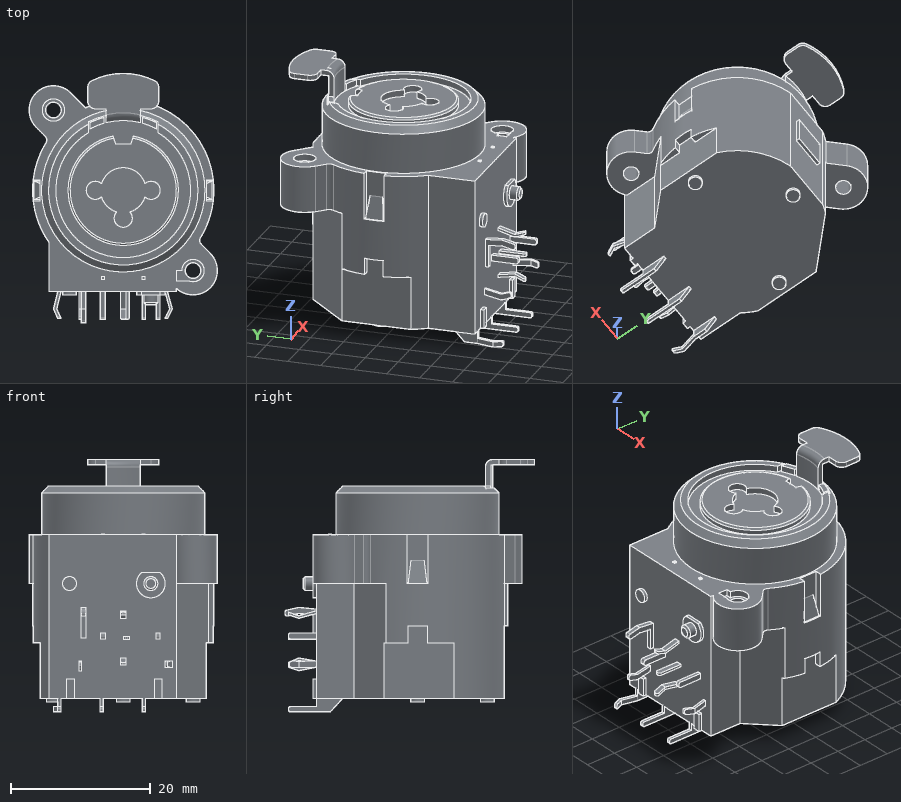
import cadquery as cq
import math


body_radius = 13.0
body_bottom = -23.5
body_front = -14.5
body_back = 12.42
back_flat_reach = math.sqrt(body_radius**2 - body_back**2)
block_left = -10.65
block_right = 7.6
back_flat_angle, back_flat_distance = 135.0, 12.1
front_flat_angle, front_flat_distance = -45.0, 11.8
side_flat = 11.9
side_flat_top = -15.5
side_flat_reach = math.sqrt(body_radius**2 - side_flat**2)
side_notch_top = -13.05
side_notch_width = 2.8
slot_width = 3.0
slot_ramp_top = -3.7
slot_ramp_depth = 0.85
slot_ramp_width_top = 1.9
slot_ramp_width_bottom = 2.7
cut_size = 10.0

lug_x, lug_y = 10.0, 11.5
lug_radius = 3.5
lug_height = 7.0
lug_web_length = 6.0
lug_blend_radius = 0.8
web_edge_offset = lug_radius - (lug_y - lug_x) * math.sqrt(0.5)
web_edge_reach = math.sqrt(body_radius**2 - web_edge_offset**2)
lug_joint_x = (web_edge_reach + web_edge_offset) * math.sqrt(0.5)
lug_joint_y = (web_edge_reach - web_edge_offset) * math.sqrt(0.5)
screw_hole_diameter = 2.2
counterbore_diameter = 3.2
counterbore_depth = 1.0
key_pocket_y = (-13.0, -11.5)

barrel_diameter = 23.4
barrel_height = 7.0
barrel_chamfer = 1.0
recess_radius = 9.65
recess_depth = 1.0
insert_radius = 7.9
insert_chamfer = 0.3
key_half_width_outer = 1.5
key_half_width_inner = 1.1
key_inner_y = 6.65
jack_hole_diameter = 6.5
contact_hole_diameter = 2.6
contact_circle_radius = 4.0
socket_depth = 1.0
recess_floor = barrel_height - recess_depth

tab_top = 10.8
tab_thickness = 0.8
tab_half_width = 5.1
tab_front = 11.67
tab_back = 16.76
tab_side_back = 15.4
tab_corner_radius = 1.1
stem_radius = 10.0
stem_thickness = 0.8
stem_half_width = 2.45
stem_bend_radius = 1.1
latch_half_width = 5.0
shoulder_outer = 4.75
shoulder_inner = 2.75
latch_outer_radius = 11.0
back_plate_half_width = 2.45
back_plate_outer = 12.95
back_plate_bottom = -13.05

front_relief = 0.5
peg_x, front_detail_z = 3.95, -7.0
peg_diameter = 2.0
peg_tip = -16.4
peg_chamfer = 0.3
peg_base_radius = 2.05
peg_base_flat = 1.55
pad_x = -7.7
rib_centres = (-7.55, 5.0)
rib_width = 1.1
rib_top = -20.65

foot_diameter = 2.0
foot_height = 0.5
foot_circle_radius = 10.0
nub_x = 2.9
nub_y = -12.55
nub_size = 0.4
nub_height = 0.1

overlap = 0.5
pin_tip = -18.5
pin_bend = -17.0
bent_tip = -18.35
tip_rounding = 0.35
blade_height = 0.9
blade_thickness = 0.4
flat_blade_width = 0.85

strap_x, strap_width = -5.7, 0.7
strap_z = (-14.8, -10.7)
strap_blade_z, strap_blade_bend = -11.1, (0, 0.25, -0.2)
strap_blade_tip = -19.0
upper_flat_z, upper_flat_bend = -11.1, (0, -0.7, -0.2)
lower_flat_z, lower_flat_bend = -18.3, (0, 0.45, -0.2)
left_blade_x, left_blade_z, left_blade_bend = -6.15, -18.55, (0, -0.5, 0)
right_blade_x, right_blade_z, right_blade_bend = 6.15, -18.55, (0, 0.7, 0)
switch_blades = ((-2.9, 0.7), (5.0, 0.55))
switch_blade_z = -14.5
middle_blade_x, middle_blade_z = 0.45, -14.8

ground_bottom = -25.4
ground_pin_height = 0.8
ground_thickness = 0.5
ground_start = -10.75
ground_bend = -12.5
ground_xs = (-9.15, -3.1, 2.95)
ground_pin_bend = (0, -0.6, 0)


def box(x_range, y_range, z_range):
    x, y, z = x_range[0], y_range[0], z_range[0]
    size = [high - low for low, high in (x_range, y_range, z_range)]
    return cq.Workplane().box(*size, centered=False).translate((x, y, z))


def cylinder(x, y, diameter, bottom, top):
    return cq.Workplane().center(x, y).circle(diameter / 2).extrude(top - bottom).translate((0, 0, bottom))


def front_cylinder(x, z, diameter, depth_end):
    """Round stud standing on the front face and reaching out to Y = depth_end."""
    length = body_front - depth_end
    return cq.Workplane("XZ", origin=(x, body_front, z)).circle(diameter / 2).extrude(length)


def lug(x, y):
    """Round lug with a parallel-sided web running diagonally back to the body."""
    web_angle = math.degrees(math.atan2(-math.copysign(1, y), -math.copysign(1, x)))
    web = (
        cq.Workplane()
        .rect(lug_web_length, 2 * lug_radius)
        .extrude(-lug_height)
        .translate((lug_web_length / 2, 0, 0))
        .rotate((0, 0, 0), (0, 0, 1), web_angle)
        .translate((x, y, 0))
    )
    return web.union(cylinder(x, y, 2 * lug_radius, -lug_height, 0))


def flange():
    """Upper part of the housing with both lugs blended into the round body."""
    lugs = lug(-lug_x, lug_y).union(lug(lug_x, -lug_y))
    solid = cylinder(0, 0, 2 * body_radius, -lug_height, 0).union(lugs)
    for side in (-1, 1):
        x, y = side * lug_joint_x, -side * lug_joint_y
        joint = cq.selectors.NearestToPointSelector((x, y, -lug_height / 2))
        solid = solid.edges("|Z").edges(joint).fillet(lug_blend_radius)
    return solid


def lower_body():
    solid = cylinder(0, 0, 2 * body_radius, body_bottom, -lug_height)
    for angle, distance in (
        (back_flat_angle, back_flat_distance),
        (front_flat_angle, front_flat_distance),
    ):
        flat = box((distance, distance + cut_size), (-cut_size, cut_size), (body_bottom, -lug_height))
        solid = solid.cut(flat.rotate((0, 0, 0), (0, 0, 1), angle))
    return solid


def housing():
    solid = flange().union(lower_body())
    back_waste = box((-back_flat_reach, back_flat_reach), (body_back, body_radius), (body_bottom, 0))
    solid = solid.cut(back_waste)
    solid = solid.union(box((block_left, block_right), (body_front, 0), (body_bottom, 0)))
    for side in (-1, 1):
        solid = cut_side_details(solid, side)
    return cut_lug_holes(solid)


def cut_side_details(solid, side):
    flat_range = sorted((side * side_flat, side * (side_flat + cut_size)))
    solid = solid.cut(box(flat_range, (-side_flat_reach, side_flat_reach), (body_bottom, side_flat_top)))
    notch_y = (-side_notch_width / 2, side_notch_width / 2)
    solid = solid.cut(box(flat_range, notch_y, (side_flat_top, side_notch_top)))
    solid = solid.cut(box(flat_range, (-slot_width / 2, slot_width / 2), (-lug_height, 0)))
    return solid.union(slot_ramp(side))


def slot_ramp(side):
    """Snap-in wedge on the floor of a side slot, narrower at its top."""
    outline = [
        (-slot_ramp_width_bottom / 2, -lug_height),
        (slot_ramp_width_bottom / 2, -lug_height),
        (slot_ramp_width_top / 2, slot_ramp_top),
        (-slot_ramp_width_top / 2, slot_ramp_top),
    ]
    depth = side * slot_ramp_depth
    plate = cq.Workplane("YZ").polyline(outline).close().extrude(depth)
    slope = [(0, slot_ramp_top), (0, -lug_height), (depth, -lug_height)]
    wedge = cq.Workplane("XZ").polyline(slope).close().extrude(slot_width / 2, both=True)
    return plate.intersect(wedge).translate((side * side_flat, 0, 0))


def cut_lug_holes(solid):
    for x, y in ((-lug_x, lug_y), (lug_x, -lug_y)):
        solid = solid.cut(cylinder(x, y, screw_hole_diameter, body_bottom, 0))
        solid = solid.cut(cylinder(x, y, counterbore_diameter, -counterbore_depth, 0))
    return solid.cut(box((block_right, lug_x), key_pocket_y, (-counterbore_depth, 0)))


def barrel():
    solid = cylinder(0, 0, barrel_diameter, -overlap, barrel_height)
    solid = solid.faces(">Z").edges().chamfer(barrel_chamfer)
    solid = solid.cut(cylinder(0, 0, 2 * recess_radius, recess_floor, barrel_height))
    window = cylinder(0, 0, 2 * latch_outer_radius, recess_floor, barrel_height)
    window = window.intersect(
        box((-latch_half_width, latch_half_width), (0, body_radius), (0, barrel_height))
    )
    return solid.cut(window).union(socket_insert())


def socket_insert():
    solid = cylinder(0, 0, 2 * insert_radius, recess_floor, barrel_height)
    solid = solid.faces(">Z").edges().chamfer(insert_chamfer)
    key_outline = [
        (-key_half_width_outer, insert_radius),
        (-key_half_width_inner, key_inner_y),
        (key_half_width_inner, key_inner_y),
        (key_half_width_outer, insert_radius),
    ]
    key = cq.Workplane(origin=(0, 0, recess_floor)).polyline(key_outline).close().extrude(recess_depth)
    solid = solid.cut(key)
    socket_floor = barrel_height - socket_depth
    solid = solid.cut(cylinder(0, 0, jack_hole_diameter, socket_floor, barrel_height))
    for angle in (0, 180, 270):
        x = contact_circle_radius * math.cos(math.radians(angle))
        y = contact_circle_radius * math.sin(math.radians(angle))
        solid = solid.cut(cylinder(x, y, contact_hole_diameter, socket_floor, barrel_height))
    return solid


def push_latch():
    tab_bottom = tab_top - tab_thickness
    tab = (
        cq.Workplane(origin=(0, 0, tab_bottom))
        .moveTo(-tab_half_width, tab_front)
        .lineTo(tab_half_width, tab_front)
        .lineTo(tab_half_width, tab_side_back)
        .threePointArc((0, tab_back), (-tab_half_width, tab_side_back))
        .close()
        .extrude(tab_thickness)
        .edges("|Z")
        .fillet(tab_corner_radius)
    )
    return tab.union(latch_stem()).union(latch_shoulders()).union(back_plate())


def latch_stem():
    """Stem curved around the barrel axis, bent outward under the push tab."""
    outer = stem_radius + stem_thickness
    tab_bottom = tab_top - tab_thickness
    profile = (
        cq.Workplane("XZ")
        .moveTo(stem_radius, recess_floor - overlap)
        .lineTo(stem_radius, tab_top - stem_bend_radius)
        .radiusArc((stem_radius + stem_bend_radius, tab_top), stem_bend_radius)
        .lineTo(tab_front + overlap, tab_top)
        .lineTo(tab_front + overlap, tab_bottom)
        .lineTo(outer, tab_bottom)
        .lineTo(outer, recess_floor - overlap)
        .close()
    )
    ring = profile.revolve(360, (0, 0, 0), (0, 1, 0))
    return ring.intersect(box((-stem_half_width, stem_half_width), (0, body_radius), (0, tab_top)))


def latch_shoulders():
    """Curved arms standing beside the stem in the opening of the barrel rim."""
    bottom = recess_floor - overlap
    ring = cylinder(0, 0, 2 * (stem_radius + stem_thickness), bottom, barrel_height)
    ring = ring.cut(cylinder(0, 0, 2 * stem_radius, bottom, barrel_height))
    right = ring.intersect(box((shoulder_inner, shoulder_outer), (0, body_radius), (0, barrel_height)))
    return right.union(right.mirror("YZ"))


def back_plate():
    half = back_plate_half_width
    return box((-half, half), (body_back - overlap, back_plate_outer), (back_plate_bottom, -lug_height))


def front_details():
    relief_end = body_front - front_relief
    peg = front_cylinder(peg_x, front_detail_z, peg_diameter, peg_tip)
    peg = peg.faces("<Y").edges().chamfer(peg_chamfer)
    base = front_cylinder(peg_x, front_detail_z, 2 * peg_base_radius, relief_end)
    flat_z = front_detail_z + peg_base_flat
    base = base.cut(
        box(
            (peg_x - peg_base_radius, peg_x + peg_base_radius),
            (relief_end, body_front),
            (flat_z, flat_z + peg_base_radius),
        )
    )
    details = peg.union(base).union(front_cylinder(pad_x, front_detail_z, peg_diameter, relief_end))
    for x in rib_centres:
        x_range = (x - rib_width / 2, x + rib_width / 2)
        details = details.union(box(x_range, (relief_end, body_front), (body_bottom, rib_top)))
    return details


def feet_and_nubs():
    pads = []
    for x, y in ((-foot_circle_radius, 0), (foot_circle_radius, 0), (0, foot_circle_radius)):
        pads.append(cylinder(x, y, foot_diameter, body_bottom - foot_height, body_bottom))
    for x in (-nub_x, nub_x):
        nub = cq.Workplane().box(nub_size, nub_size, nub_height, centered=(True, True, False))
        pads.append(nub.translate((x, nub_y, 0)))
    return pads


def strip(path, thickness):
    """Corner points of a strip along (u, Y) path points, thickened along u."""
    near_edge = [(u + thickness / 2, y) for u, y in path]
    far_edge = [(u - thickness / 2, y) for u, y in reversed(path)]
    return near_edge + far_edge


def contact_path(offsets, centre, tip):
    """Centre line from inside the housing, through its bend, out to the tip."""
    root_offset, bend_offset, tip_offset = offsets
    return [
        (centre + root_offset, body_front + overlap),
        (centre + root_offset, body_front),
        (centre + bend_offset, pin_bend),
        (centre + tip_offset, tip),
    ]


def blade_bent_in_z(x, z, width, height, offsets, tip=pin_tip):
    """Contact whose centre line waves up or down by the given Z offsets."""
    outline = [(y, u) for u, y in strip(contact_path(offsets, z, tip), height)]
    solid = cq.Workplane("YZ", origin=(x, 0, 0)).polyline(outline).close().extrude(width / 2, both=True)
    return round_tip(solid, width, height)


def blade_bent_in_x(x, z, width, height, offsets, tip=pin_tip):
    """Contact whose centre line waves sideways by the given X offsets."""
    outline = strip(contact_path(offsets, x, tip), width)
    solid = cq.Workplane("XY", origin=(0, 0, z)).polyline(outline).close().extrude(height / 2, both=True)
    return round_tip(solid, width, height)


def round_tip(blade, width, height):
    """Round the tip corners across the wider side of the blade."""
    direction = "|Z" if width > height else "|X"
    radius = tip_rounding * max(width, height)
    return blade.edges(direction).edges("<Y").fillet(radius)


def straight_blade(x, z, width, height):
    y_range = (pin_tip, body_front + overlap)
    blade = box((x - width / 2, x + width / 2), y_range, (z - height / 2, z + height / 2))
    return round_tip(blade, width, height)


def ground_contact(x, is_bent):
    """Tail folded out under the housing, then forward as a solder pin."""
    outline = [
        (ground_start, body_bottom),
        (ground_bend, ground_bottom),
        (body_front, ground_bottom),
        (body_front, body_bottom),
    ]
    tail = (
        cq.Workplane("YZ", origin=(x, 0, 0))
        .polyline(outline)
        .close()
        .extrude(ground_thickness / 2, both=True)
    )
    pin_z = ground_bottom + ground_pin_height / 2
    if is_bent:
        pin = blade_bent_in_x(x, pin_z, ground_thickness, ground_pin_height, ground_pin_bend, bent_tip)
    else:
        pin = straight_blade(x, pin_z, ground_thickness, ground_pin_height)
    return tail.union(pin)


def strap_contact():
    """Contact with a strap lying on the front face below its bent blade."""
    x, width = strap_x, strap_width
    strap = box((x - width / 2, x + width / 2), (body_front - front_relief, body_front), strap_z)
    blade = blade_bent_in_z(x, strap_blade_z, width, blade_height, strap_blade_bend, strap_blade_tip)
    return strap.union(blade)


def signal_contacts():
    thick, tall, wide = blade_thickness, blade_height, flat_blade_width
    blades = [
        strap_contact(),
        blade_bent_in_z(0, upper_flat_z, wide, thick, upper_flat_bend),
        blade_bent_in_z(0, lower_flat_z, wide, thick, lower_flat_bend),
        blade_bent_in_z(left_blade_x, left_blade_z, thick, tall, left_blade_bend),
        blade_bent_in_x(right_blade_x, right_blade_z, thick, tall, right_blade_bend, bent_tip),
        straight_blade(middle_blade_x, middle_blade_z, wide, thick),
    ]
    for x, width in switch_blades:
        blades.append(straight_blade(x, switch_blade_z, width, tall))
    return blades


result = housing().union(barrel()).union(push_latch()).union(front_details())
for pad in feet_and_nubs():
    result = result.union(pad)
for contact in signal_contacts():
    result = result.union(contact)
for index, ground_x in enumerate(ground_xs):
    result = result.union(ground_contact(ground_x, is_bent=index == 0))